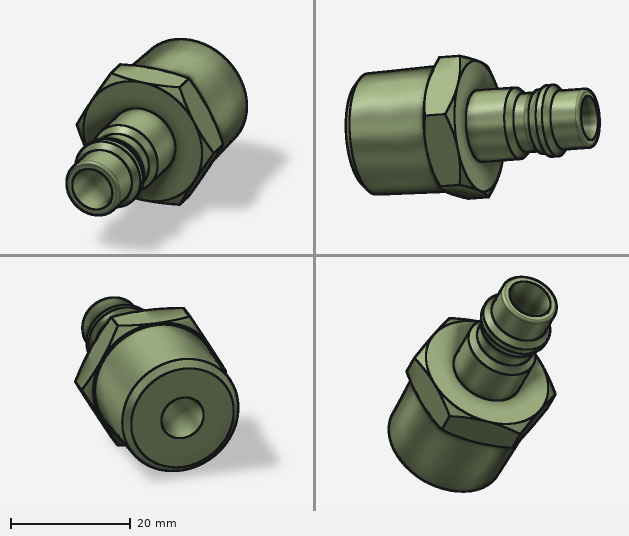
import cadquery as cq
import math

total_length = 40.5
bore_diameter = 7.4

plug_radius = 5.0
tip_round = 0.5
collar_radius = 6.05
collar_ramp_start = 5.02
collar_start = 6.1
collar_end = 7.25
cusp_radius = 5.43
cusp = 8.83
neck_start = 9.8
neck_end = 11.75
shank_start = 12.95

hex_start = 19.93
hex_end = 25.55
across_flats = 22.0
across_corners = across_flats / math.cos(math.radians(30))
hex_chamfer_angle = 30.0

thread_base_radius = 10.65
thread_taper = 1 / 16
thread_chamfer = 1.2


def hollow_radius(length, rise):
    """Radius of an arc that starts parallel to the axis and rises over the given length."""
    return (length ** 2 + rise ** 2) / (2 * rise)


def make_plug():
    """Turned plug with a locking groove behind its collar."""
    collar_hollow = hollow_radius(cusp - collar_end, collar_radius - cusp_radius)
    neck_hollow = hollow_radius(neck_start - cusp, cusp_radius - plug_radius)
    round_offset = tip_round * (1 - math.sin(math.radians(45)))
    return (
        cq.Workplane("XY")
        .moveTo(0, 0)
        .lineTo(plug_radius - tip_round, 0)
        .threePointArc((plug_radius - round_offset, round_offset), (plug_radius, tip_round))
        .lineTo(plug_radius, collar_ramp_start)
        .lineTo(collar_radius, collar_start)
        .lineTo(collar_radius, collar_end)
        .radiusArc((cusp_radius, cusp), collar_hollow)
        .radiusArc((plug_radius, neck_start), neck_hollow)
        .lineTo(plug_radius, neck_end)
        .lineTo(collar_radius, shank_start)
        .lineTo(collar_radius, hex_start)
        .lineTo(0, hex_start)
        .close()
        .revolve(360, (0, 0, 0), (0, 1, 0))
    )


def make_hexagon():
    """Hexagon with corners on X, both faces turned to a conical chamfer."""
    flat_radius = across_flats / 2
    corner_radius = across_corners / 2
    chamfer_depth = (corner_radius - flat_radius) * math.tan(math.radians(hex_chamfer_angle))
    prism = (
        cq.Workplane("XZ", origin=(0, hex_start, 0))
        .polygon(6, across_corners)
        .extrude(hex_start - hex_end)
    )
    envelope = (
        cq.Workplane("XY")
        .polyline([
            (0, hex_start),
            (flat_radius, hex_start),
            (corner_radius, hex_start + chamfer_depth),
            (corner_radius, hex_end - chamfer_depth),
            (flat_radius, hex_end),
            (0, hex_end),
        ])
        .close()
        .revolve(360, (0, 0, 0), (0, 1, 0))
    )
    return prism.intersect(envelope)


def make_thread_body():
    """Plain tapered body with a chamfered end."""
    chamfer_start = total_length - thread_chamfer
    end_radius = thread_base_radius - (chamfer_start - hex_end) * thread_taper / 2
    return (
        cq.Workplane("XY")
        .polyline([
            (0, hex_end),
            (thread_base_radius, hex_end),
            (end_radius, chamfer_start),
            (end_radius - thread_chamfer, total_length),
            (0, total_length),
        ])
        .close()
        .revolve(360, (0, 0, 0), (0, 1, 0))
    )


bore = cq.Workplane("XZ").circle(bore_diameter / 2).extrude(-total_length)
result = make_plug().union(make_hexagon()).union(make_thread_body()).cut(bore)